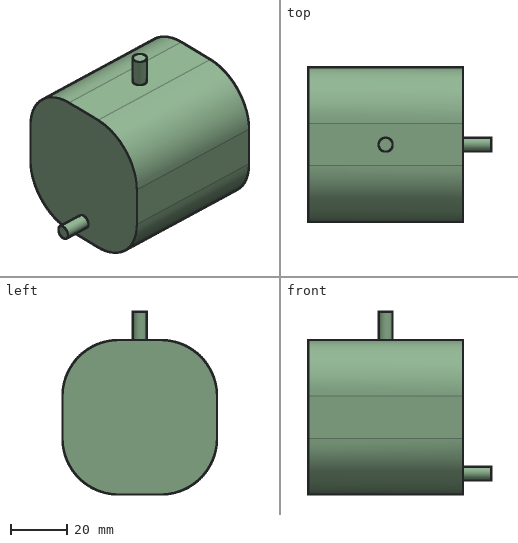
import cadquery as cq

overall = 65.0
body_size = 55.0
corner_radius = 20.0
pin_diameter = 5.0
side_pin_height = 7.5

pin_length = overall - body_size
half_body = body_size / 2


def make_body():
    """Block with rounded edges along X, centred on the origin."""
    block = cq.Workplane("XY").box(body_size, body_size, body_size)
    return block.edges("|X").fillet(corner_radius)


def make_pin(base, direction):
    """Round pin standing on the body at the base point."""
    return cq.Workplane(
        cq.Plane(origin=base, normal=direction)
    ).circle(pin_diameter / 2).extrude(pin_length)


top_pin = make_pin((0, 0, half_body), (0, 0, 1))
side_pin = make_pin((half_body, 0, side_pin_height - half_body), (1, 0, 0))

result = make_body().union(top_pin).union(side_pin)